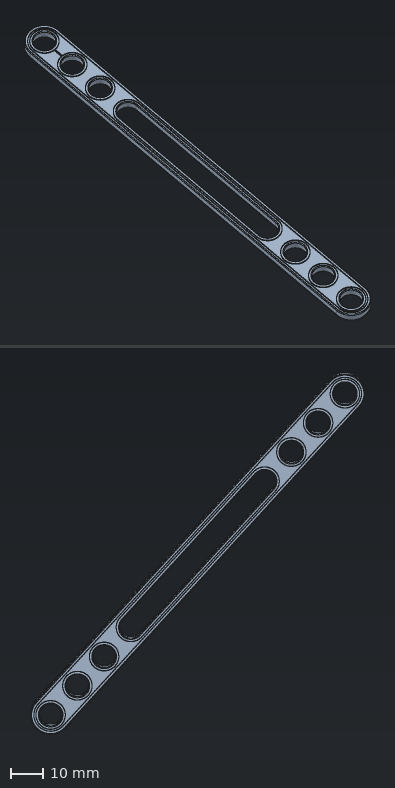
import cadquery as cq

length = 150.0
pitch_count = 12
thickness = 3.2
hole_diameter = 7.0
wall = 1.0
holes_per_end = 3
recess_depth = 0.3
edge_chamfer = 0.3
rib_width = 0.3

pitch = length / pitch_count
width = pitch
rim_diameter = hole_diameter + 2 * wall
end_hole_x = (length - pitch) / 2
slot_end_x = end_hole_x - holes_per_end * pitch
hole_positions = [
    (side * (end_hole_x - index * pitch), 0) for side in (-1, 1) for index in range(holes_per_end)
]


def rounded_bar(end_x, diameter, height):
    """Bar along X from Z = 0 upwards, with end arcs centred on -end_x and +end_x."""
    return cq.Workplane("XY").slot2D(2 * end_x + diameter, diameter).extrude(height)


def openings(diameter, height):
    """Cylinders on the hole centres and a rounded bar on the slot, all of one diameter."""
    holes = cq.Workplane("XY").pushPoints(hole_positions).circle(diameter / 2).extrude(height)
    return holes.union(rounded_bar(slot_end_x, diameter, height))


def face_recess():
    """Material removed from one face: everything inside the border except the rims."""
    pocket = rounded_bar(end_hole_x, width - 2 * wall, recess_depth)
    return pocket.cut(openings(rim_diameter, recess_depth))


def rib():
    """Strip from centre to centre of the two leftmost holes, as tall as the recess is deep."""
    middle_x = -end_hole_x + pitch / 2
    return cq.Workplane("XY").center(middle_x, 0).rect(pitch, rib_width).extrude(recess_depth)


bar = rounded_bar(end_hole_x, width, thickness).cut(openings(hole_diameter, thickness))
bar = bar.faces("<Z or >Z").edges().chamfer(edge_chamfer)

lower_recess = face_recess()
upper_recess = face_recess().cut(rib()).translate((0, 0, thickness - recess_depth))
bar = bar.cut(lower_recess).cut(upper_recess)

result = bar.translate((0, 0, -thickness / 2))